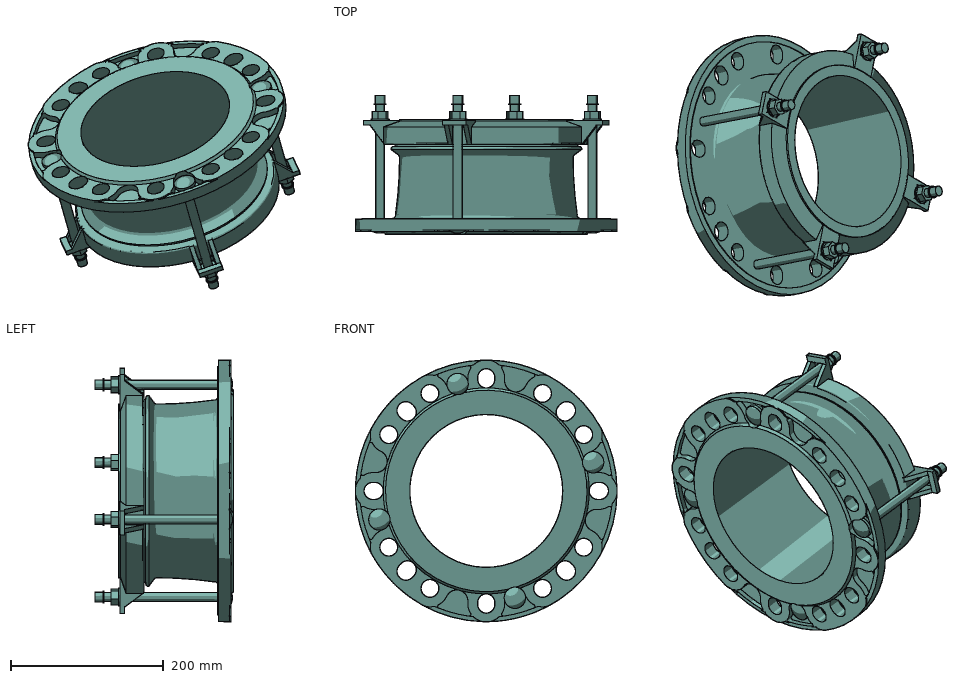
import cadquery as cq
import math


BORE_RADIUS = 100.0
FACE_RADIUS = 132.0
FACE_BASE_RADIUS = 135.0
FACE_HEIGHT = 3.5
FLANGE_RADIUS = 171.5
FLANGE_RIM_BACK_Y = 20.0
FLANGE_BACK_Y = 21.0
FLANGE_BACK_RADIUS = 163.0
NECK_ROOT_RADIUS = 246.53 / 2
NECK_BASE_RADIUS = 119.3
NECK_BASE_Y = 26.0
NECK_RADIUS = 114.0
NECK_TOP_Y = 100.5
SOCKET_RADIUS = 125.2
SOCKET_ROUNDING = 3.5
SOCKET_CONE_START_RADIUS = 116.3
SOCKET_CONE_START_Y = 104.7
SOCKET_CONE_END_Y = 111.3
SOCKET_END_Y = 115.3

GASKET_RADIUS = 120.0

RING_RADIUS = 134.5
RING_FRONT_Y = 117.5
RING_FRONT_ROUNDING = 2.0
RING_SHOULDER_Y = 141.0
RING_CONE_END_Y = 148.3
RING_BACK_Y = 150.8
RING_BACK_RADIUS = 114.0

BOLT_CIRCLE_RADIUS = 147.5
PAD_OVERHANG = 0.2
PAD_RADIUS = FLANGE_RADIUS - BOLT_CIRCLE_RADIUS + PAD_OVERHANG
ROUND_HOLE_DIAMETER = 23.0
AXIS_SLOT_WIDTH = 22.0
DIAGONAL_SLOT_WIDTH = 23.0
SLOT_LENGTHENING = 3.0
PAD_SPACING_ANGLE = 30.0
RIM_INNER_RADIUS = 165.7
RIM_STEP = 2.0
CUT_CLEARANCE = 1.0
POCKET_CENTRE_RADIUS = 149.5
POCKET_DEPTH = 8.5
POCKET_FLOOR_Y = FACE_HEIGHT + POCKET_DEPTH
POCKET_CORNER_RADIUS = 2.5

QUARTER_TURNS = (0, 90, 180, 270)
ROD_OFFSET_ANGLE = PAD_SPACING_ANGLE / 2
ROD_CIRCLE_RADIUS = 144.0
ROD_RADIUS = 6.0
HEAD_RADIUS = 14.0
HEAD_DOME_RADIUS = 19.0
HEAD_CENTRE_RADIUS = 145.0
HEAD_TIP_Y = 1.5
CAP_RADIUS = 6.5
CAP_COLLAR_RADIUS = 8.0
CAP_COLLAR_Y = 170.0
CAP_COLLAR_THICKNESS = 1.0
ROD_END_Y = 182.0
NUT_ACROSS_FLATS = 19.0
NUT_HEIGHT = 10.0
WASHER_RADIUS = 12.0
WASHER_THICKNESS = 1.8
BRACKET_WIDTH = 32.0
BRACKET_OUTER_RADIUS = 162.3
BRACKET_INNER_RADIUS = 112.0
BRACKET_FRONT_Y = 143.0
BRACKET_BACK_Y = 149.3
RIB_THICKNESS = 6.0
RIB_OUTER_RADIUS = 153.5
RIB_FOOT_RADIUS = 133.7


def polar(radius, angle):
    """Point in the XZ plane at a radius and an angle in degrees from +X towards +Z."""
    return (radius * math.cos(math.radians(angle)), radius * math.sin(math.radians(angle)))


def front_plane(y):
    """Workplane at height y: local x is X, local y is Z, extrusions run along -Y."""
    return cq.Workplane("XZ", origin=(0, y, 0))


def turned(shape, angle):
    """Copy of a shape turned about the Y axis from +X towards +Z."""
    return shape.rotate((0, 0, 0), (0, 1, 0), -angle)


def disc(radius, start_y, end_y, centre=(0, 0)):
    """Cylinder along Y between two heights, around a centre in the XZ plane."""
    return front_plane(end_y).center(*centre).circle(radius).extrude(end_y - start_y)


def make_body():
    """Flange, curved neck, socket, gasket and clamp ring as one turned shape."""
    flare = NECK_BASE_RADIUS - NECK_RADIUS
    flare_length = NECK_TOP_Y - NECK_BASE_Y
    flare_arc_radius = (flare_length**2 + flare**2) / (2 * flare)
    half_angle = math.atan2(flare, flare_length)
    neck_mid = (
        NECK_RADIUS + flare_arc_radius * (1 - math.cos(half_angle)),
        NECK_TOP_Y - flare_arc_radius * math.sin(half_angle),
    )
    profile = (
        cq.Workplane("XY")
        .moveTo(BORE_RADIUS, 0)
        .lineTo(FACE_RADIUS, 0)
        .lineTo(FACE_BASE_RADIUS, FACE_HEIGHT)
        .lineTo(FLANGE_RADIUS, FACE_HEIGHT)
        .lineTo(FLANGE_RADIUS, FLANGE_RIM_BACK_Y)
        .lineTo(FLANGE_BACK_RADIUS, FLANGE_RIM_BACK_Y)
        .lineTo(FLANGE_BACK_RADIUS, FLANGE_BACK_Y)
        .lineTo(NECK_ROOT_RADIUS, FLANGE_BACK_Y)
        .tangentArcPoint((NECK_BASE_RADIUS, NECK_BASE_Y), relative=False)
        .threePointArc(neck_mid, (NECK_RADIUS, NECK_TOP_Y))
        .tangentArcPoint((SOCKET_CONE_START_RADIUS, SOCKET_CONE_START_Y), relative=False)
        .lineTo(SOCKET_RADIUS, SOCKET_CONE_END_Y)
        .lineTo(SOCKET_RADIUS, SOCKET_END_Y - SOCKET_ROUNDING)
        .tangentArcPoint((SOCKET_RADIUS - SOCKET_ROUNDING, SOCKET_END_Y), relative=False)
        .lineTo(GASKET_RADIUS, SOCKET_END_Y)
        .lineTo(GASKET_RADIUS, RING_FRONT_Y)
        .lineTo(RING_RADIUS - RING_FRONT_ROUNDING, RING_FRONT_Y)
        .tangentArcPoint((RING_RADIUS, RING_FRONT_Y + RING_FRONT_ROUNDING), relative=False)
        .lineTo(RING_RADIUS, RING_SHOULDER_Y)
        .lineTo(RING_BACK_RADIUS, RING_CONE_END_Y)
        .lineTo(RING_BACK_RADIUS, RING_BACK_Y)
        .lineTo(BORE_RADIUS, RING_BACK_Y)
        .close()
    )
    return profile.revolve(360, (0, 0, 0), (0, 1, 0))


def make_rim_step():
    """Low outer rim of the flange: a ring that leaves the pads around the bolt holes standing."""
    step_back_y = FACE_HEIGHT + RIM_STEP
    step_outer_radius = FLANGE_RADIUS + CUT_CLEARANCE
    step = disc(step_outer_radius, FACE_HEIGHT, step_back_y)
    step = step.cut(disc(RIM_INNER_RADIUS, FACE_HEIGHT, step_back_y))
    for quarter in QUARTER_TURNS:
        for pad in range(3):
            centre = polar(BOLT_CIRCLE_RADIUS, quarter + pad * PAD_SPACING_ANGLE)
            step = step.cut(disc(PAD_RADIUS, FACE_HEIGHT, step_back_y, centre))
        long_pad = (
            front_plane(step_back_y)
            .lineTo(*polar(step_outer_radius, quarter + PAD_SPACING_ANGLE))
            .threePointArc(
                polar(step_outer_radius, quarter + 1.5 * PAD_SPACING_ANGLE),
                polar(step_outer_radius, quarter + 2 * PAD_SPACING_ANGLE),
            )
            .close()
            .extrude(RIM_STEP)
        )
        step = step.cut(long_pad)
    return step


def make_pocket():
    """Pocket between two neighbouring pads, around a rod that lies on +X.

    Its inner end is an arc tangent to the arcs of both pads; the rim closes its outer end.
    """
    half_spacing = PAD_SPACING_ANGLE / 2
    pad_x, pad_z = polar(BOLT_CIRCLE_RADIUS, half_spacing)
    centre_distance = math.hypot(POCKET_CENTRE_RADIUS - pad_x, pad_z)
    inner_radius = centre_distance - PAD_RADIUS
    share = PAD_RADIUS / centre_distance
    tangent_x = pad_x + (POCKET_CENTRE_RADIUS - pad_x) * share
    tangent_z = pad_z * (1 - share)

    rim_cosine = (BOLT_CIRCLE_RADIUS**2 + PAD_RADIUS**2 - RIM_INNER_RADIUS**2) / (
        2 * BOLT_CIRCLE_RADIUS * PAD_RADIUS
    )
    corner_direction = half_spacing + 180 + math.degrees(math.acos(rim_cosine))
    tangent_direction = math.degrees(math.atan2(tangent_z - pad_z, tangent_x - pad_x)) % 360

    def on_pad(direction):
        offset_x, offset_z = polar(PAD_RADIUS, direction)
        return (pad_x + offset_x, pad_z + offset_z)

    def mirrored(point):
        return (point[0], -point[1])

    corner = on_pad(corner_direction)
    pad_mid = on_pad((corner_direction + tangent_direction) / 2)
    tangent_point = (tangent_x, tangent_z)
    return (
        front_plane(POCKET_FLOOR_Y)
        .moveTo(*corner)
        .threePointArc(pad_mid, tangent_point)
        .threePointArc((POCKET_CENTRE_RADIUS - inner_radius, 0), mirrored(tangent_point))
        .threePointArc(mirrored(pad_mid), mirrored(corner))
        .threePointArc((RIM_INNER_RADIUS, 0), corner)
        .close()
        .extrude(POCKET_FLOOR_Y)
        .edges("|Y")
        .edges(">X")
        .fillet(POCKET_CORNER_RADIUS)
    )


def make_round_hole():
    """Round bolt hole on +X."""
    return disc(ROUND_HOLE_DIAMETER / 2, 0, FLANGE_BACK_Y, (BOLT_CIRCLE_RADIUS, 0))


def make_slot(width):
    """Bolt hole on +X that is slightly longer along the flange radius."""
    slot = front_plane(FLANGE_BACK_Y).center(BOLT_CIRCLE_RADIUS, 0)
    return slot.slot2D(width + SLOT_LENGTHENING, width).extrude(FLANGE_BACK_Y)


def make_head_seat():
    """Round seat on +X that opens the pocket wall around a rod head."""
    return disc(HEAD_RADIUS, 0, POCKET_FLOOR_Y, (HEAD_CENTRE_RADIUS, 0))


def make_tie_rod():
    """Rod on +X with its round head in the flange pocket, a nut, a washer and an end cap."""
    place = (ROD_CIRCLE_RADIUS, 0)
    washer_end_y = BRACKET_BACK_Y + WASHER_THICKNESS
    dome_centre = (HEAD_CENTRE_RADIUS, HEAD_TIP_Y + HEAD_DOME_RADIUS, 0)
    rod = disc(ROD_RADIUS, POCKET_FLOOR_Y, CAP_COLLAR_Y, place)
    head = cq.Workplane("XY").sphere(HEAD_DOME_RADIUS).translate(dome_centre)
    head = head.intersect(make_head_seat())
    collar = disc(CAP_COLLAR_RADIUS, CAP_COLLAR_Y, CAP_COLLAR_Y + CAP_COLLAR_THICKNESS, place)
    cap = disc(CAP_RADIUS, CAP_COLLAR_Y, ROD_END_Y, place)
    washer = disc(WASHER_RADIUS, BRACKET_BACK_Y, washer_end_y, place)
    nut = (
        front_plane(washer_end_y + NUT_HEIGHT)
        .center(*place)
        .polygon(6, NUT_ACROSS_FLATS, circumscribed=True)
        .extrude(NUT_HEIGHT)
    )
    return rod.union(head).union(collar).union(cap).union(washer).union(nut)


def make_bracket():
    """Clamp lug on +X: a plate with an opening for the rod, held by two triangular ribs."""
    plate_thickness = BRACKET_BACK_Y - BRACKET_FRONT_Y
    plate_middle_y = (BRACKET_BACK_Y + BRACKET_FRONT_Y) / 2

    def block(inner_radius, outer_radius, width):
        middle = ((inner_radius + outer_radius) / 2, plate_middle_y, 0)
        return cq.Workplane("XY").box(outer_radius - inner_radius, plate_thickness, width).translate(middle)

    bracket = block(BRACKET_INNER_RADIUS, BRACKET_OUTER_RADIUS, BRACKET_WIDTH)
    rod_opening = block(RING_RADIUS, RIB_OUTER_RADIUS, BRACKET_WIDTH - 2 * RIB_THICKNESS)
    bracket = bracket.cut(rod_opening)
    for rib_start in (-BRACKET_WIDTH / 2, BRACKET_WIDTH / 2 - RIB_THICKNESS):
        rib = (
            cq.Workplane("XY", origin=(0, 0, rib_start))
            .moveTo(BRACKET_INNER_RADIUS, BRACKET_FRONT_Y)
            .lineTo(RIB_OUTER_RADIUS, BRACKET_FRONT_Y)
            .lineTo(RIB_FOOT_RADIUS, RING_FRONT_Y)
            .lineTo(GASKET_RADIUS, RING_FRONT_Y)
            .close()
            .extrude(RIB_THICKNESS)
        )
        bracket = bracket.union(rib)
    return bracket


def make_flange_cuts():
    """Bolt holes, pockets and rod head seats of one quarter of the flange."""
    return [
        make_slot(AXIS_SLOT_WIDTH),
        turned(make_round_hole(), PAD_SPACING_ANGLE),
        turned(make_slot(DIAGONAL_SLOT_WIDTH), 1.5 * PAD_SPACING_ANGLE),
        turned(make_round_hole(), 2 * PAD_SPACING_ANGLE),
        turned(make_pocket(), -ROD_OFFSET_ANGLE),
        turned(make_pocket(), ROD_OFFSET_ANGLE),
        turned(make_head_seat(), ROD_OFFSET_ANGLE),
    ]


flange_cuts = make_flange_cuts()
clamp = make_bracket().union(make_tie_rod())

result = make_body().cut(make_rim_step())
for quarter in QUARTER_TURNS:
    for flange_cut in flange_cuts:
        result = result.cut(turned(flange_cut, quarter))
for quarter in QUARTER_TURNS:
    result = result.union(turned(clamp, quarter + ROD_OFFSET_ANGLE))